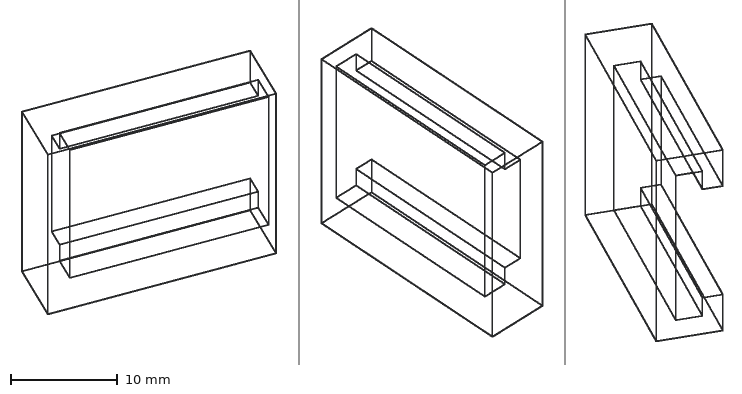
import cadquery as cq

width = 6.5
length = 23.0
height = 20.0

end_wall = 3.0
slot_length = length - end_wall
mouth_height = 12.0
lip_thickness = 2.0
undercut = 2.0
slot_depth = 4.6


def slot_cut(x_start, x_end, cut_height):
    """Box reaching from the end wall to the +Y end, centred on the height."""
    return (
        cq.Workplane("XY")
        .box(x_end - x_start, slot_length, cut_height, centered=(False, False, True))
        .translate((x_start, end_wall, height / 2))
    )


block = cq.Workplane("XY").box(width, length, height, centered=False)
mouth = slot_cut(0, lip_thickness, mouth_height)
channel = slot_cut(lip_thickness, slot_depth, mouth_height + 2 * undercut)

result = block.cut(mouth).cut(channel)